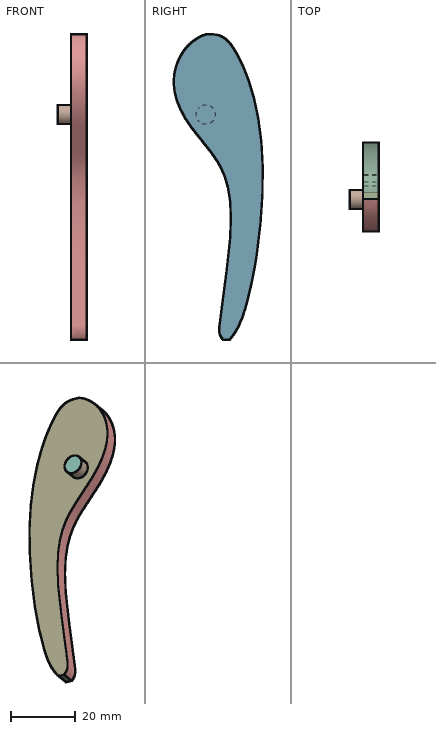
import cadquery as cq

plate_thickness = 4.9
pin_length = 4.1
pin_diameter = 6.0

total_length = 95.0
top_z = 25.0
bottom_z = top_z - total_length
back_y = 17.8
front_y = -10.0

top_flat_back = (2.2, top_z)
top_flat_front = (0.1, top_z)
tail_flat_back = (7.4, bottom_z)
tail_flat_front = (5.4, bottom_z)

back_curve = [
    (5.9, 23.75),
    (9.3, 19.6),
    (13.4, 10.5),
    (16.3, -1.0),
    (back_y, -17.1),
    (17.1, -33.25),
    (15.4, -46.7),
    (12.9, -58.1),
    (9.8, -66.7),
    tail_flat_back,
]

front_curve = [
    (4.4, -68.4),
    (4.4, -64.6),
    (5.8, -53.6),
    (7.8, -32.3),
    (5.9, -19.3),
    (3.7, -14.7),
    (0.4, -10.2),
    (-6.5, -1.0),
    (front_y, 10.1),
    (-7.0, 19.6),
    top_flat_front,
]


def make_plate():
    """Lever blade lying between X = 0 and X = plate_thickness."""
    outline = (
        cq.Workplane("YZ")
        .moveTo(*top_flat_front)
        .lineTo(*top_flat_back)
        .spline(back_curve, includeCurrent=True)
        .lineTo(*tail_flat_front)
        .spline(front_curve, includeCurrent=True)
        .close()
    )
    return outline.extrude(plate_thickness)


def make_pin():
    """Pivot pin standing out of the -X face of the blade."""
    return cq.Workplane("YZ").circle(pin_diameter / 2).extrude(-pin_length)


result = make_plate().union(make_pin())